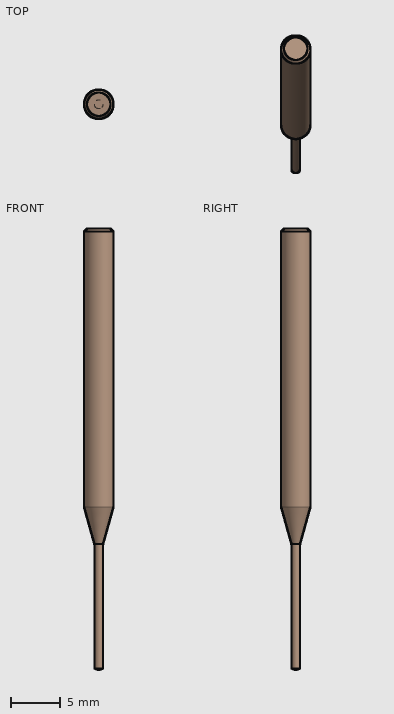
import cadquery as cq
import math

total_length = 45.0
shank_diameter = 3.0
pin_diameter = 0.9
neck_height = 12.82
taper_height = 3.8
end_chamfer = 0.3
point_angle = 140.0

shank_radius = shank_diameter / 2
pin_radius = pin_diameter / 2
point_height = pin_radius / math.tan(math.radians(point_angle / 2))
shank_bottom = neck_height + taper_height


def make_turned_body(profile):
    """Revolve a closed (radius, height) profile about the Z axis."""
    return cq.Workplane("XZ").polyline(profile).close().revolve(360, (0, 0), (0, 1))


def make_shank():
    """Cylindrical shank with a chamfered top and a taper down to the pin."""
    profile = [
        (0, neck_height),
        (pin_radius, neck_height),
        (shank_radius, shank_bottom),
        (shank_radius, total_length - end_chamfer),
        (shank_radius - end_chamfer, total_length),
        (0, total_length),
    ]
    return make_turned_body(profile)


def make_pin():
    """Slim pin with a conical drill point, ending flat against the taper."""
    profile = [
        (0, 0),
        (pin_radius, point_height),
        (pin_radius, neck_height),
        (0, neck_height),
    ]
    return make_turned_body(profile)


shank = make_shank()
pin = make_pin()
result = cq.Compound.makeCompound([shank.val(), pin.val()])